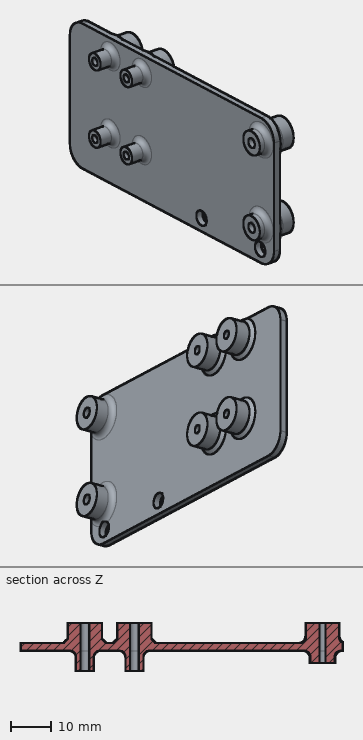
import cadquery as cq

length = 80.0
height = 40.0
thickness = 2.0
corner_radius = 5.05

overall_depth = 12.0
boss_height = (overall_depth - thickness) / 2
tall_pin_height = boss_height
short_pin_height = 3.05
boss_diameter = 8.6

root_fillet = 1.5
root_chamfer = 1.05

tall_pin_diameter = 4.6
tall_bore = 2.1
left_x = 15.9
left_pitch_x = 12.3
left_z = 13.8
left_pitch_z = 21.3

short_pin_diameter = 6.5
short_bore = 2.6
right_x = 75.0
right_z = 10.65
right_pitch_z = 23.4

mount_diameter = 4.0
mount_z = 3.7
mount_right_x = 74.6
mount_pitch_x = 23.0

left_points = [
    (left_x + column * left_pitch_x, left_z + row * left_pitch_z)
    for column in range(2)
    for row in range(2)
]
right_points = [(right_x, right_z + row * right_pitch_z) for row in range(2)]
mount_points = [(mount_right_x - mount_pitch_x, mount_z), (mount_right_x, mount_z)]


def rounded_slab(y_start, depth):
    """Block with the plate outline, running from y_start toward +Y."""
    slab = cq.Workplane("XY").box(length, depth, height, centered=False)
    return slab.edges("|Y").fillet(corner_radius).translate((0, y_start, 0))


def post(diameter, post_height, flare, rounded):
    """Post standing on the XZ plane toward +Y, with a concave or conical flare at its root."""
    radius = diameter / 2
    profile = cq.Workplane("XY").lineTo(radius + flare, 0)
    if rounded:
        profile = profile.radiusArc((radius, flare), flare)
    else:
        profile = profile.lineTo(radius, flare)
    profile = profile.lineTo(radius, post_height).lineTo(0, post_height).close()
    return profile.revolve(360, (0, 0, 0), (0, 1, 0))


def place(body, points, y):
    """Copies of a body at the given X, Z points."""
    copies = [body.translate((x, y, z)) for x, z in points]
    group = copies[0]
    for copy in copies[1:]:
        group = group.union(copy)
    return group


def holes(diameter, points):
    """Bores along Y through the whole depth of the part."""
    bore = cq.Workplane("XZ").circle(diameter / 2).extrude(overall_depth, both=True)
    return place(bore, points, 0)


tall_pin = post(tall_pin_diameter, tall_pin_height, root_fillet, True).mirror("XZ")
short_pin = post(short_pin_diameter, short_pin_height, root_fillet, True).mirror("XZ")

left_boss = post(boss_diameter, boss_height, root_chamfer, False)
right_boss = post(boss_diameter, boss_height, root_fillet, True)

posts = place(tall_pin, left_points, 0)
posts = posts.union(place(short_pin, right_points, 0))
posts = posts.union(place(left_boss, left_points, thickness))
posts = posts.union(place(right_boss, right_points, thickness))

posts = posts.intersect(rounded_slab(-tall_pin_height, overall_depth))

result = rounded_slab(0, thickness).union(posts)
result = result.cut(holes(tall_bore, left_points))
result = result.cut(holes(short_bore, right_points))
result = result.cut(holes(mount_diameter, mount_points))